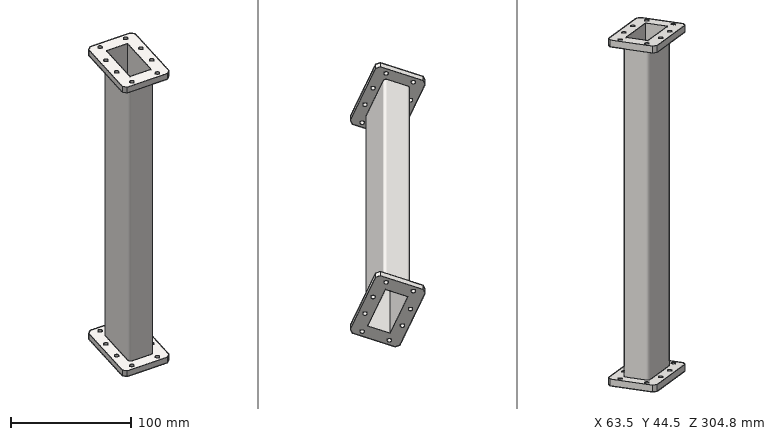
import cadquery as cq

total_length = 304.8
flange_width = 63.5
flange_depth = 44.5
flange_thickness = 6.0
flange_corner_chamfer = 3.0

bore_width = 40.2
bore_depth = 20.0
wall_thickness = 1.68
tube_corner_radius = 2.53
tube_width = bore_width + 2 * wall_thickness
tube_depth = bore_depth + 2 * wall_thickness

bolt_hole_diameter = 3.7
side_hole_x = 27.0
side_hole_y = 12.2
long_edge_hole_x = 9.0
long_edge_hole_y = 16.8


def make_flange(bottom_z):
    """Flange plate with chamfered corners and eight through holes."""
    plate = (
        cq.Workplane("XY", origin=(0, 0, bottom_z))
        .rect(flange_width, flange_depth)
        .extrude(flange_thickness)
        .edges("|Z")
        .chamfer(flange_corner_chamfer)
    )
    hole_pairs = [(side_hole_x, side_hole_y), (long_edge_hole_x, long_edge_hole_y)]
    hole_centers = [
        (x_sign * x, y_sign * y)
        for x, y in hole_pairs
        for x_sign in (-1, 1)
        for y_sign in (-1, 1)
    ]
    return plate.faces(">Z").workplane().pushPoints(hole_centers).hole(bolt_hole_diameter)


def make_tube():
    """Solid tube body with rounded long edges."""
    return (
        cq.Workplane("XY", origin=(0, 0, -total_length / 2))
        .rect(tube_width, tube_depth)
        .extrude(total_length)
        .edges("|Z")
        .fillet(tube_corner_radius)
    )


def make_bore():
    """Sharp-cornered rectangular passage through the full length."""
    return cq.Workplane("XY").box(bore_width, bore_depth, total_length)


bottom_flange = make_flange(-total_length / 2)
top_flange = make_flange(total_length / 2 - flange_thickness)

result = make_tube().union(bottom_flange).union(top_flange).cut(make_bore())